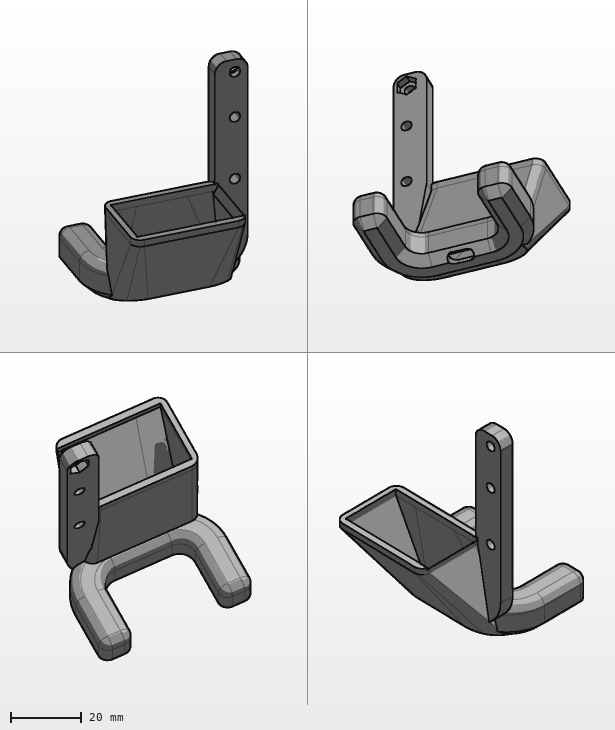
import cadquery as cq
import math

BAR_WIDTH = 10.0
BAR_HEIGHT = 12.1
EDGE_SIZE = 3.0
BOTTOM_CHAMFER = 2.95
BASE_HALF_Y = 24.0
BEND_X = 17.4
BEND_INNER_RADIUS = 5.0
BEND_OUTER_RADIUS = BEND_INNER_RADIUS + BAR_WIDTH
BEND_Y = BASE_HALF_Y - BEND_OUTER_RADIUS
BAR_X_MIN = BEND_X + BEND_INNER_RADIUS
BAR_X_MAX = BEND_X + BEND_OUTER_RADIUS

RIM_X_MIN, RIM_X_MAX = 30.35, 54.7
RIM_Y_MIN, RIM_Y_MAX = -22.4, 12.5
RIM_TOP = 34.55
RIM_HEIGHT = 2.1
RIM_BOTTOM = RIM_TOP - RIM_HEIGHT
FOOT_HALF_Y = 18.3
FOOT_REAR_RADIUS = 5.0
REAR_FLARE_ANGLE = 62

CAVITY_X_MIN, CAVITY_X_MAX = 32.5, 52.45
CAVITY_Y_MIN, CAVITY_Y_MAX = -20.5, 10.75
FLOOR_Z = 3.0
FLOOR_X_MIN, FLOOR_X_MAX = 25.3, 32.4
FLOOR_HALF_Y = 15.75
FLOOR_FRONT_RADIUS = 0.4
FLOOR_REAR_RADIUS = 6.6
BEVEL_TOP = 34.0
BEVEL_ANGLE = math.radians(30)

OUTLET_X_MIN = 22.0
OUTLET_LENGTH = 4.4
OUTLET_LEAN = 0.69
OUTLET_WIDTH = 7.95
OUTLET_RADIUS = 2.0

POST_X_MIN, POST_X_MAX = 27.5, 32.3
POST_Y_MIN, POST_Y_MAX = 11.5, 21.6
POST_TOP = 73.65
POST_TOP_RADIUS = 3.5
POST_LEAN = 0.165
POST_HEEL_Z = 16.6
POST_HEEL_RADIUS = 11.6
POST_HEEL_ANGLE = math.radians(60)

HOLE_DIAMETER = 3.2
HOLE_Y = 17.6
HOLE_HEIGHTS = (34.9, 54.95, 69.6)
NUT_FLATS = 5.7
NUT_DEPTH = 2.5


def rounded_rectangle(x_min, x_max, y_min, y_max, front_radius, rear_radius, z):
    """Wire at height z with separate corner radii on its -X and +X sides."""
    front, rear = front_radius, rear_radius
    f_in = front * (1 - math.sqrt(0.5))
    r_in = rear * (1 - math.sqrt(0.5))
    return (
        cq.Workplane("XY", origin=(0, 0, z))
        .moveTo(x_min + front, y_min)
        .lineTo(x_max - rear, y_min)
        .threePointArc((x_max - r_in, y_min + r_in), (x_max, y_min + rear))
        .lineTo(x_max, y_max - rear)
        .threePointArc((x_max - r_in, y_max - r_in), (x_max - rear, y_max))
        .lineTo(x_min + front, y_max)
        .threePointArc((x_min + f_in, y_max - f_in), (x_min, y_max - front))
        .lineTo(x_min, y_min + front)
        .threePointArc((x_min + f_in, y_min + f_in), (x_min + front, y_min))
        .close()
        .val()
    )


def box(x_min, x_max, y_min, y_max, z_min, z_max):
    size = (x_max - x_min, y_max - y_min, z_max - z_min)
    return cq.Workplane("XY").box(*size, centered=False).translate((x_min, y_min, z_min))


def make_base():
    leg_inner_y = BASE_HALF_Y - BAR_WIDTH
    diagonal = math.sqrt(0.5)
    outer = (BEND_X + BEND_OUTER_RADIUS * diagonal, BEND_Y + BEND_OUTER_RADIUS * diagonal)
    inner = (BEND_X + BEND_INNER_RADIUS * diagonal, BEND_Y + BEND_INNER_RADIUS * diagonal)
    bar = (
        cq.Workplane("XY")
        .moveTo(0, BASE_HALF_Y)
        .lineTo(BEND_X, BASE_HALF_Y)
        .threePointArc(outer, (BAR_X_MAX, BEND_Y))
        .lineTo(BAR_X_MAX, -BEND_Y)
        .threePointArc((outer[0], -outer[1]), (BEND_X, -BASE_HALF_Y))
        .lineTo(0, -BASE_HALF_Y)
        .lineTo(0, -leg_inner_y)
        .lineTo(BEND_X, -leg_inner_y)
        .threePointArc((inner[0], -inner[1]), (BAR_X_MIN, -BEND_Y))
        .lineTo(BAR_X_MIN, BEND_Y)
        .threePointArc(inner, (BEND_X, leg_inner_y))
        .lineTo(0, leg_inner_y)
        .close()
        .extrude(BAR_HEIGHT)
    )
    bar = bar.faces("<X").edges("|Z").fillet(EDGE_SIZE)
    bar = bar.faces(">Z").edges().fillet(EDGE_SIZE)
    return bar.faces("<Z").edges().chamfer(BOTTOM_CHAMFER)


def hopper_outline(x_min, y_middle, half_y, front_radius, small_arc, large_arc, split, z):
    """Outline mirrored about y_middle, with two tangent arcs at each rear (+X) corner.

    Each arc is (centre x, centre distance from y_middle, radius). The small arc turns from
    the side to the split angle, and the large arc from there to the rear edge.
    """
    def point(arc, angle, side):
        x, offset, radius = arc
        return (x + radius * math.cos(angle), y_middle + side * (offset + radius * math.sin(angle)))

    front_arc = (x_min + front_radius, half_y - front_radius, front_radius)
    quarter_turn = math.pi / 2
    small_middle = (quarter_turn + split) / 2
    return (
        cq.Workplane("XY", origin=(0, 0, z))
        .moveTo(*point(front_arc, quarter_turn, -1))
        .lineTo(*point(small_arc, quarter_turn, -1))
        .threePointArc(point(small_arc, small_middle, -1), point(small_arc, split, -1))
        .threePointArc(point(large_arc, split / 2, -1), point(large_arc, 0, -1))
        .lineTo(*point(large_arc, 0, 1))
        .threePointArc(point(large_arc, split / 2, 1), point(large_arc, split, 1))
        .threePointArc(point(small_arc, small_middle, 1), point(small_arc, quarter_turn, 1))
        .lineTo(*point(front_arc, quarter_turn, 1))
        .threePointArc(point(front_arc, 1.5 * quarter_turn, 1), point(front_arc, math.pi, 1))
        .lineTo(*point(front_arc, math.pi, -1))
        .threePointArc(point(front_arc, 1.5 * quarter_turn, -1), point(front_arc, quarter_turn, -1))
        .close()
        .val()
    )


def make_underside_relief():
    """Material to take off the hopper's lower edges so that they carry on the base chamfer."""
    inset_radius = BEND_OUTER_RADIUS - BOTTOM_CHAMFER
    half_y = BEND_Y + inset_radius
    diagonal = inset_radius * math.sqrt(0.5)
    flared_foot = (
        cq.Workplane("XY")
        .moveTo(BEND_X, -half_y)
        .threePointArc((BEND_X + diagonal, -BEND_Y - diagonal), (BEND_X + inset_radius, -BEND_Y))
        .lineTo(BEND_X + inset_radius, BEND_Y)
        .threePointArc((BEND_X + diagonal, BEND_Y + diagonal), (BEND_X, half_y))
        .close()
        .extrude(BOTTOM_CHAMFER, taper=-REAR_FLARE_ANGLE)
    )
    rear = box(BEND_X, RIM_X_MAX, -BASE_HALF_Y, BASE_HALF_Y, 0, BOTTOM_CHAMFER).cut(flared_foot)
    front = (
        cq.Workplane("XZ", origin=(BAR_X_MIN, 0, 0))
        .polyline([(0, 0), (BOTTOM_CHAMFER, 0), (0, BOTTOM_CHAMFER)])
        .close()
        .extrude(BASE_HALF_Y, both=True)
    )
    return rear.union(front)


def make_hopper():
    reach = BEND_OUTER_RADIUS - FOOT_REAR_RADIUS
    corner_y = FOOT_HALF_Y - FOOT_REAR_RADIUS
    foot_split = math.asin((corner_y - BEND_Y) / reach)
    foot_corner = (BEND_X + reach * math.cos(foot_split), corner_y, FOOT_REAR_RADIUS)
    bend = (BEND_X, BEND_Y, BEND_OUTER_RADIUS)
    foot = hopper_outline(BAR_X_MIN, 0, FOOT_HALF_Y, EDGE_SIZE,
                          foot_corner, bend, foot_split, 0)

    rim_middle = (RIM_Y_MIN + RIM_Y_MAX) / 2
    rim_half_y = (RIM_Y_MAX - RIM_Y_MIN) / 2
    rim_corner = (RIM_X_MAX - EDGE_SIZE, rim_half_y - EDGE_SIZE, EDGE_SIZE)
    rim = hopper_outline(RIM_X_MIN, rim_middle, rim_half_y, EDGE_SIZE,
                         rim_corner, rim_corner, foot_split, RIM_BOTTOM)

    shell = cq.Workplane(cq.Solid.makeLoft([foot, rim], True))
    collar = cq.Workplane("XY").add(rim).toPending().extrude(RIM_HEIGHT)
    return shell.union(collar).cut(make_underside_relief())


def mouth_wire(z):
    """Cavity rectangle with its long sides split so that each piece meets one floor edge."""
    middle = (CAVITY_Y_MIN + CAVITY_Y_MAX) / 2
    quarter = (CAVITY_Y_MAX - CAVITY_Y_MIN) / 4
    return (
        cq.Workplane("XY", origin=(0, 0, z))
        .polyline([
            (CAVITY_X_MIN, CAVITY_Y_MIN),
            (CAVITY_X_MAX, CAVITY_Y_MIN),
            (CAVITY_X_MAX, middle - quarter),
            (CAVITY_X_MAX, middle + quarter),
            (CAVITY_X_MAX, CAVITY_Y_MAX),
            (CAVITY_X_MIN, CAVITY_Y_MAX),
            (CAVITY_X_MIN, middle + quarter),
            (CAVITY_X_MIN, middle - quarter),
        ])
        .close()
        .val()
    )


def make_cavity():
    mouth = box(CAVITY_X_MIN, CAVITY_X_MAX, CAVITY_Y_MIN, CAVITY_Y_MAX, RIM_BOTTOM, RIM_TOP)
    floor = rounded_rectangle(FLOOR_X_MIN, FLOOR_X_MAX, -FLOOR_HALF_Y, FLOOR_HALF_Y,
                              FLOOR_FRONT_RADIUS, FLOOR_REAR_RADIUS, FLOOR_Z)
    funnel = cq.Solid.makeLoft([floor, mouth_wire(RIM_BOTTOM)], True)
    bevel_bottom = BEVEL_TOP - (RIM_Y_MAX - CAVITY_Y_MAX) / math.tan(BEVEL_ANGLE)
    bevel = (
        cq.Workplane("YZ", origin=(CAVITY_X_MIN, 0, 0))
        .moveTo(CAVITY_Y_MAX, RIM_TOP)
        .lineTo(RIM_Y_MAX, RIM_TOP)
        .lineTo(RIM_Y_MAX, BEVEL_TOP)
        .lineTo(CAVITY_Y_MAX, bevel_bottom)
        .close()
        .extrude(CAVITY_X_MAX - CAVITY_X_MIN)
    )
    return mouth.union(cq.Workplane(funnel)).union(bevel)


def make_outlet():
    outline = rounded_rectangle(OUTLET_X_MIN, OUTLET_X_MIN + OUTLET_LENGTH,
                                -OUTLET_WIDTH / 2, OUTLET_WIDTH / 2,
                                OUTLET_RADIUS, OUTLET_RADIUS, 0)
    rise = cq.Vector(OUTLET_LEAN * FLOOR_Z, 0, FLOOR_Z)
    return cq.Workplane(cq.Solid.extrudeLinear(outline, [], rise))


def make_post():
    def heel_point(angle):
        return (POST_Y_MAX - POST_HEEL_RADIUS * (1 - math.cos(angle)),
                POST_HEEL_Z - POST_HEEL_RADIUS * math.sin(angle))

    toe_z = heel_point(POST_HEEL_ANGLE)[1]
    toe_y = POST_Y_MIN + POST_LEAN * (RIM_BOTTOM - toe_z)
    post = (
        cq.Workplane("YZ", origin=(POST_X_MIN, 0, 0))
        .moveTo(POST_Y_MIN, POST_TOP)
        .lineTo(POST_Y_MAX, POST_TOP)
        .lineTo(POST_Y_MAX, POST_HEEL_Z)
        .threePointArc(heel_point(POST_HEEL_ANGLE / 2), (toe_y, toe_z))
        .lineTo(POST_Y_MIN, RIM_BOTTOM)
        .close()
        .extrude(POST_X_MAX - POST_X_MIN)
    )
    return post.faces(">Z").edges("|X").fillet(POST_TOP_RADIUS)


def make_post_holes():
    face = cq.Workplane("YZ", origin=(POST_X_MIN, 0, 0))
    holes = (
        face.pushPoints([(HOLE_Y, z) for z in HOLE_HEIGHTS])
        .circle(HOLE_DIAMETER / 2)
        .extrude(POST_X_MAX - POST_X_MIN)
    )
    nut_corners = NUT_FLATS / math.cos(math.pi / 6)
    nut = (
        face.center(HOLE_Y, HOLE_HEIGHTS[-1])
        .transformed(rotate=(0, 0, 30))
        .polygon(6, nut_corners)
        .extrude(NUT_DEPTH)
    )
    return holes.union(nut)


body = make_base().union(make_hopper())
body = body.union(make_post())
result = body.cut(make_cavity()).cut(make_outlet()).cut(make_post_holes())